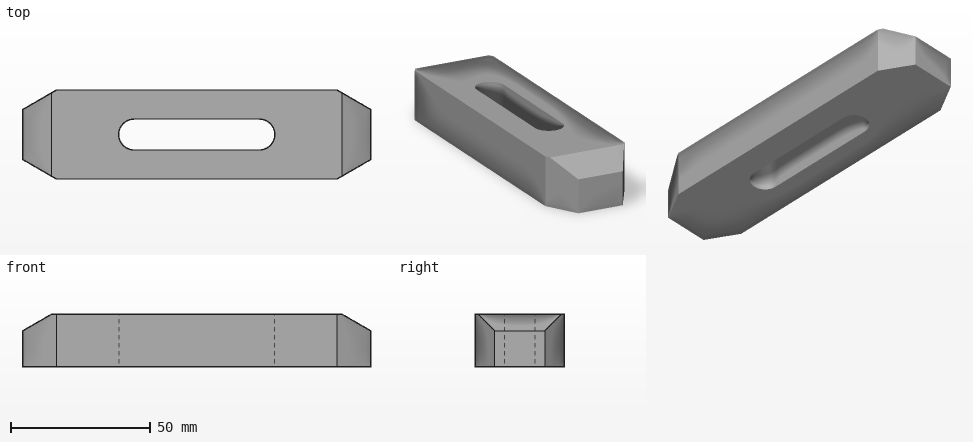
import cadquery as cq
import math

length = 125.0
width = 32.0
height = 19.0
nose_width = 18.0
nose_height = 13.0
taper_angle = 30.0
slot_length = 56.0
slot_width = 11.0

slope = math.tan(math.radians(taper_angle))
side_taper_length = (width - nose_width) / 2 / slope
top_bevel_length = (height - nose_height) / slope


def plan_body():
    """Bar with both ends tapered in plan, standing on Z = 0."""
    half_length = length / 2
    half_width = width / 2
    half_nose = nose_width / 2
    shoulder = half_length - side_taper_length
    outline = [
        (-half_length, -half_nose),
        (-shoulder, -half_width),
        (shoulder, -half_width),
        (half_length, -half_nose),
        (half_length, half_nose),
        (shoulder, half_width),
        (-shoulder, half_width),
        (-half_length, half_nose),
    ]
    return cq.Workplane("XY").polyline(outline).close().extrude(height)


def side_profile():
    """Side outline with beveled top corners, extruded across the full width."""
    half_length = length / 2
    bevel_start = half_length - top_bevel_length
    outline = [
        (-half_length, 0),
        (half_length, 0),
        (half_length, nose_height),
        (bevel_start, height),
        (-bevel_start, height),
        (-half_length, nose_height),
    ]
    return cq.Workplane("XZ").polyline(outline).close().extrude(width / 2, both=True)


def slot():
    """Round-ended through slot in the middle of the bar."""
    return cq.Workplane("XY").slot2D(slot_length, slot_width).extrude(height)


result = plan_body().intersect(side_profile()).cut(slot())